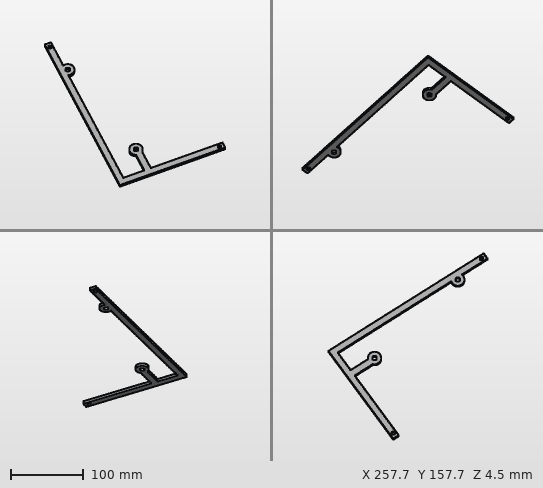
import cadquery as cq

length = 257.7
height = 157.7
thickness = 4.5
bar_width = 9.3

end_hole_diameter = 5.0
end_hole_inset = 6.7

lug_diameter = 18.5
lug_hole_diameter = 6.5
edge_lug_center = (51.3, 12.0)
arm_lug_center = (211.3, 44.3)
arm_width = 9.8
arm_bottom = 40.7


def plate(x_min, y_min, x_size, y_size):
    """Flat rectangular bar placed by its lower left corner."""
    return cq.Workplane("XY").box(x_size, y_size, thickness, centered=False).translate((x_min, y_min, 0))


def disc(center, diameter):
    """Upright cylinder through the full thickness."""
    return cq.Workplane("XY").center(*center).circle(diameter / 2).extrude(thickness)


frame = plate(0, 0, length, bar_width)
frame = frame.union(plate(length - bar_width, 0, bar_width, height))

arm_start = arm_lug_center[0]
frame = frame.union(plate(arm_start, arm_bottom, length - bar_width / 2 - arm_start, arm_width))

lug_centers = [edge_lug_center, arm_lug_center]
for center in lug_centers:
    frame = frame.union(disc(center, lug_diameter))
for center in lug_centers:
    frame = frame.cut(disc(center, lug_hole_diameter))

end_hole_centers = [
    (end_hole_inset, bar_width / 2),
    (length - bar_width / 2, height - end_hole_inset),
]
for center in end_hole_centers:
    frame = frame.cut(disc(center, end_hole_diameter))

result = frame